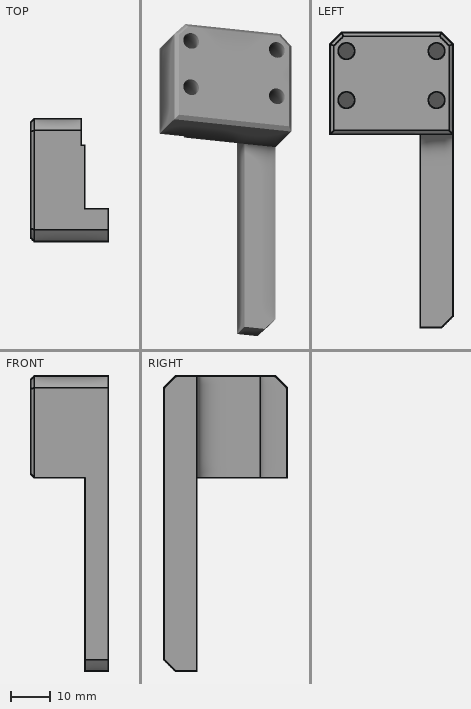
import cadquery as cq

total_depth = 19.9
total_width = 31.4
total_height = 75.34

head_height = 26.0
corner_chamfer = 2.97
face_chamfer = 1.0

arm_thickness = 6.0
arm_width = 8.4

step_depth = 0.9
step_width = 6.8

hole_diameter = 4.2
hole_depth = 10.0
hole_side_margin = 4.2
hole_top_margin = 4.75
hole_pitch_z = 12.5

head_depth = total_depth - arm_thickness
head_bottom = total_height - head_height


def make_head():
    """Block with two chamfered top corners and a chamfered mounting face."""
    head = cq.Workplane("XY").box(head_depth, total_width, head_height, centered=False)
    head = head.translate((0, 0, head_bottom))
    head = head.edges("|X and >Z").chamfer(corner_chamfer)
    return head.faces("<X").chamfer(face_chamfer)


def make_arm():
    """Full-height bar behind the head, chamfered at both ends of its -Y side."""
    arm = cq.Workplane("XY").box(arm_thickness, arm_width, total_height, centered=False)
    arm = arm.translate((head_depth, 0, 0))
    return arm.edges("|X and <Y").chamfer(corner_chamfer)


def make_step_cutter():
    """Strip removed from the back of the head along its +Y side."""
    cutter = cq.Workplane("XY").box(step_depth, step_width, head_height, centered=False)
    return cutter.translate((head_depth - step_depth, total_width - step_width, head_bottom))


def make_hole_cutters():
    """Four cylinders entering the mounting face in the +X direction."""
    top_row = total_height - hole_top_margin
    centers = [
        (y, z)
        for y in (hole_side_margin, total_width - hole_side_margin)
        for z in (top_row, top_row - hole_pitch_z)
    ]
    return cq.Workplane("YZ").pushPoints(centers).circle(hole_diameter / 2).extrude(hole_depth)


result = make_head().union(make_arm()).cut(make_step_cutter()).cut(make_hole_cutters())